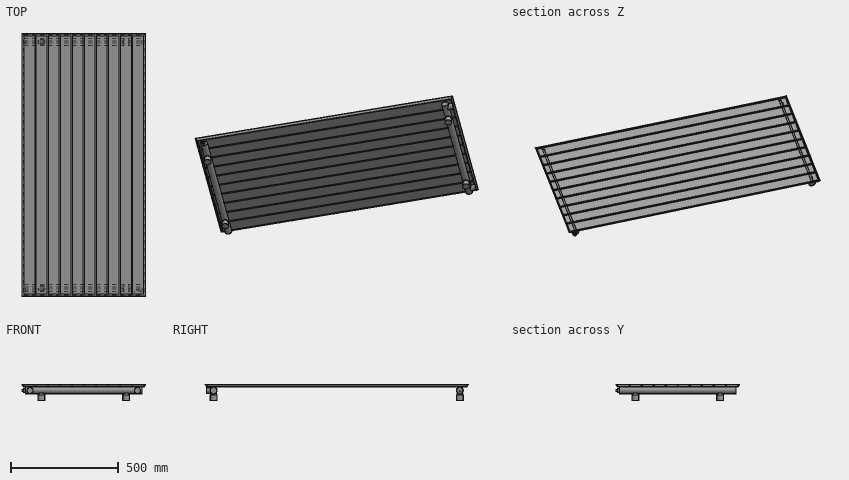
import cadquery as cq

PAN_WIDTH = 575.0
PAN_LENGTH = 1222.0
PAN_DEPTH = 13.0
PAN_FLARE = 8.0
WALL = 1.5
FLOOR = 3.0

SKIN = 1.0
PANEL_BORDER = 11.0
CHANNEL_COUNT = 10
RIB_WIDTH = 6.7

HEADER_RADIUS = 16.0
HEADER_LENGTH = 542.0
HEADER_Y = 572.0
HEADER_SINK = 0.6
HEADER_Z = HEADER_SINK - PAN_DEPTH - HEADER_RADIUS

STUB_RADIUS = 14.0
STUB_X = 249.0
STUB_END_Y = -606.0

TOTAL_HEIGHT = 76.0
FOOT_RADIUS = 16.0
FOOT_X = 197.0
FOOT_STRAIGHT = 26.0
TAPER_HEIGHT = 11.0
TAPER_INSET = 5.0

NOZZLE_Y = 578.0
NOZZLE_BASE_RADIUS = 9.2
NOZZLE_BASE_LENGTH = 9.0
NOZZLE_TIP_RADIUS = 5.5
NOZZLE_TIP_X = -PAN_WIDTH / 2


def flared_block(rim_inset, depth):
    """Block from Z = 0 down, with all four sides parallel to the pan walls."""
    lean = PAN_FLARE * depth / PAN_DEPTH
    width = PAN_WIDTH - 2 * rim_inset
    length = PAN_LENGTH - 2 * rim_inset
    return (
        cq.Workplane("XY")
        .rect(width, length)
        .workplane(offset=-depth)
        .rect(width - 2 * lean, length - 2 * lean)
        .loft(ruled=True)
    )


def rod_along_x(radius, x_start, x_end, y):
    """Round rod at header height between two X positions."""
    return (
        cq.Workplane("YZ", origin=(x_start, y, HEADER_Z))
        .circle(radius)
        .extrude(x_end - x_start)
    )


def make_header(y):
    return rod_along_x(HEADER_RADIUS, -HEADER_LENGTH / 2, HEADER_LENGTH / 2, y)


def make_stub(x):
    """Stub running from the axis of the -Y header out toward -Y."""
    return (
        cq.Workplane("XZ", origin=(x, -HEADER_Y, HEADER_Z))
        .circle(STUB_RADIUS)
        .extrude(-HEADER_Y - STUB_END_Y)
    )


def make_foot(x, y):
    """Cylinder whose tapered top runs up into the header."""
    taper_top = FOOT_STRAIGHT + TAPER_HEIGHT
    return (
        cq.Workplane("XZ")
        .lineTo(FOOT_RADIUS, 0)
        .lineTo(FOOT_RADIUS, FOOT_STRAIGHT)
        .lineTo(FOOT_RADIUS - TAPER_INSET, taper_top)
        .lineTo(0, taper_top)
        .close()
        .revolve(360, (0, 0, 0), (0, 1, 0))
        .translate((x, y, -TOTAL_HEIGHT))
    )


def make_nozzle():
    header_end = -HEADER_LENGTH / 2
    base = rod_along_x(NOZZLE_BASE_RADIUS, header_end - NOZZLE_BASE_LENGTH, header_end, NOZZLE_Y)
    tip = rod_along_x(NOZZLE_TIP_RADIUS, NOZZLE_TIP_X, header_end, NOZZLE_Y)
    return base.union(tip)


def make_piped_pan():
    """Pan with the headers, stubs, feet and nozzle fixed below it."""
    inside = flared_block(WALL, PAN_DEPTH - FLOOR)
    pan = flared_block(0, PAN_DEPTH)
    for y in (-HEADER_Y, HEADER_Y):
        pan = pan.union(make_header(y))
        for x in (-FOOT_X, FOOT_X):
            pan = pan.union(make_foot(x, y))
    for x in (-STUB_X, STUB_X):
        pan = pan.union(make_stub(x))
    return pan.union(make_nozzle()).cut(inside)


def make_absorber():
    """Panel filling the pan, with channels that leave a thin skin on top and ribs between them."""
    panel_depth = PAN_DEPTH - FLOOR
    channel_depth = panel_depth - SKIN
    channels_span = PAN_WIDTH - 2 * PANEL_BORDER
    channel_length = PAN_LENGTH - 2 * PANEL_BORDER
    channel_width = (channels_span - (CHANNEL_COUNT - 1) * RIB_WIDTH) / CHANNEL_COUNT
    pitch = channel_width + RIB_WIDTH
    channels = (
        cq.Workplane("XY", origin=(0, 0, -panel_depth))
        .rarray(pitch, 12, CHANNEL_COUNT, 1)
        .rect(channel_width, channel_length)
        .extrude(channel_depth)
    )
    return flared_block(WALL, panel_depth).cut(channels)


piped_pan = make_piped_pan()
absorber = make_absorber()

result = cq.Compound.makeCompound([piped_pan.val(), absorber.val()])